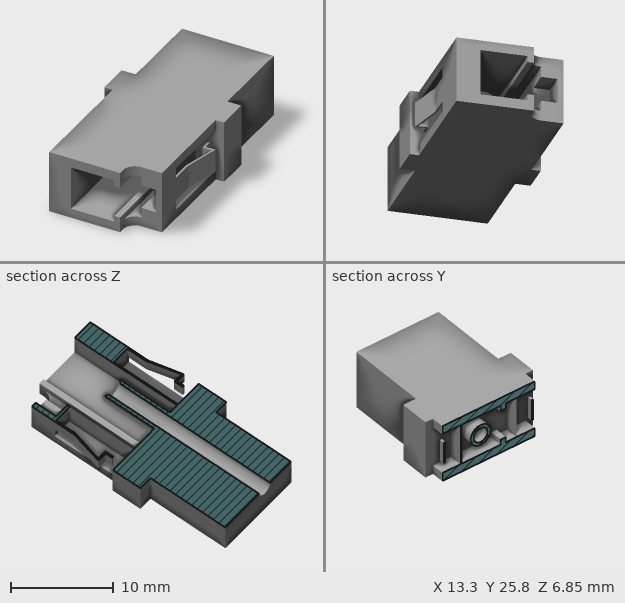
import cadquery as cq

length = 25.78
height = 6.85
front_width = 11.47
collar_width = 13.33
rear_width = 10.2
collar_front = 12.86
collar_rear = 16.37

relief_x = 2.15
relief_depth = 1.93
relief_radius = 1.31

cavity_left = -3.3
cavity_right = relief_x + relief_radius
cavity_height = 4.77
cavity_depth = collar_front
rail_width = 0.65
rail_height = 0.65
latch_slot_width = 1.65
latch_slot_height = 2.58
latch_slot_depth = 4.5

sleeve_x = -0.98
sleeve_radius = 1.26
sleeve_length = 6.2
bore_radius = 0.82
countersink_radius = 1.08
countersink_depth = countersink_radius - bore_radius

pocket_front = 4.85
pocket_depth = 2.25
pocket_height = cavity_height
clip_height = 2.58
clip_thickness = 0.23
clip_bend_y = 7.25
clip_shoulder_y = 11.09
clip_end_y = 11.94
clip_tab_inset = 0.15


def box(x_min, x_max, y_min, y_max, box_height, z_center=0.0):
    """Block between the given X and Y limits, centred in height on z_center."""
    block = cq.Workplane("XY").box(x_max - x_min, y_max - y_min, box_height, centered=(False, False, True))
    return block.translate((x_min, y_min, z_center))


def both_sides(solid):
    """The solid joined with its mirror image across the YZ plane."""
    return solid.union(solid.mirror("YZ"))


def make_housing():
    body = box(-front_width / 2, front_width / 2, 0, collar_front, height)
    collar = box(-collar_width / 2, collar_width / 2, collar_front, collar_rear, height)
    rear = box(-rear_width / 2, rear_width / 2, collar_rear, length, height)
    relief = box(relief_x, front_width / 2, 0, relief_depth, height)
    inner_corner = cq.selectors.NearestToPointSelector((relief_x, relief_depth, 0))
    relief = relief.edges(inner_corner).fillet(relief_radius)
    return body.union(collar).union(rear).cut(relief)


def make_cavity():
    cavity = box(cavity_left, cavity_right, 0, cavity_depth, cavity_height)
    rail_z = (cavity_height - rail_height) / 2
    for z in (-rail_z, rail_z):
        cavity = cavity.cut(box(relief_x - rail_width, relief_x, 0, cavity_depth, rail_height, z))
    slot = box(cavity_right, cavity_right + latch_slot_width, 0, latch_slot_depth, latch_slot_height)
    return cavity.union(slot)


def make_cylinder(radius, y_start, y_end):
    plane = cq.Workplane("XZ", origin=(sleeve_x, y_start, 0))
    return plane.circle(radius).extrude(y_start - y_end)


def make_bore():
    sleeve_front = cavity_depth - sleeve_length
    bore = make_cylinder(bore_radius, sleeve_front, length)
    countersink = cq.Solid.makeCone(
        countersink_radius,
        bore_radius,
        countersink_depth,
        pnt=cq.Vector(sleeve_x, sleeve_front, 0),
        dir=cq.Vector(0, 1, 0),
    )
    return bore.union(cq.Workplane(countersink))


def make_pocket():
    outer_x = -front_width / 2
    return box(outer_x, outer_x + pocket_depth, pocket_front, collar_front, pocket_height)


def make_clip():
    """Spring strip: flush root, leaf sloping outward, shoulder back inward, then a short end tab."""
    wall_x = -front_width / 2
    tip_x = -collar_width / 2
    tab_x = wall_x + clip_tab_inset
    profile = [
        (wall_x, pocket_front),
        (wall_x, clip_bend_y),
        (tip_x, clip_shoulder_y),
        (tab_x, clip_shoulder_y),
        (tab_x, clip_end_y),
        (tab_x + clip_thickness, clip_end_y),
        (tab_x + clip_thickness, clip_shoulder_y - clip_thickness),
        (tip_x + clip_thickness, clip_shoulder_y - clip_thickness),
        (wall_x + clip_thickness, clip_bend_y),
        (wall_x + clip_thickness, pocket_front),
    ]
    return cq.Workplane("XY").polyline(profile).close().extrude(clip_height / 2, both=True)


result = (
    make_housing()
    .cut(make_cavity())
    .cut(both_sides(make_pocket()))
    .union(both_sides(make_clip()))
    .union(make_cylinder(sleeve_radius, cavity_depth - sleeve_length, cavity_depth))
    .cut(make_bore())
)